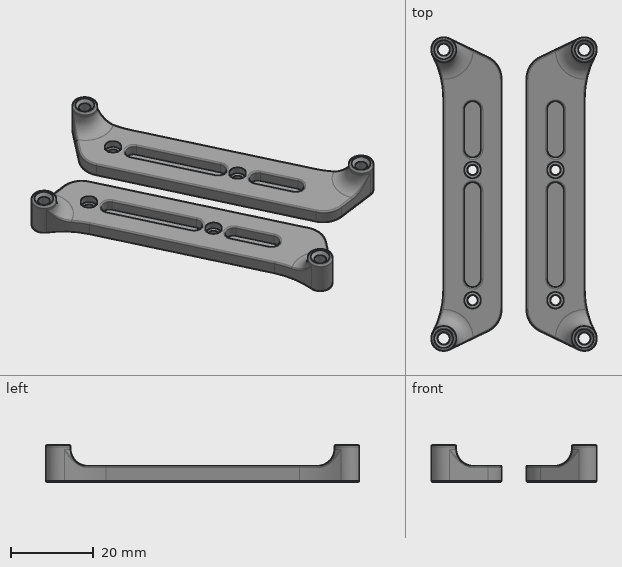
import cadquery as cq
import math


boss_radius = 3.0
boss_height = 9.0
boss_x = 17.0
boss_y = 34.9
boss_centres = [(boss_x, boss_y), (boss_x, -boss_y)]
foot_fillet = 4.0
boss_hole_diameter = 2.9
countersink_diameter = 4.55
countersink_angle = 90

plate_height = 4.0
inner_edge_x = 2.95
outer_edge_x = 17.15
end_slope = math.radians(25.6)
corner_radius = 6.0
waist_radius = 21.55

edge_round = 0.4
bottom_chamfer = 0.4
boss_gap = 0.04

screw_line_x = 10.0
screw_hole_ys = [5.85, -25.65]
screw_hole_diameter = 2.4
counterbore_diameter = 4.0
counterbore_depth = 2.0
slot_width = 4.0
slot_depth = 3.0
slot_spans = [(8.9, 22.5), (-22.5, 2.9)]

tolerance = 0.001


def on_boss(angle):
    """Point at the given direction on the rim of the +Y boss."""
    return (boss_x + boss_radius * math.cos(angle), boss_y + boss_radius * math.sin(angle))


def mirrored(point):
    return (point[0], -point[1])


def make_outline(height):
    """Bracket outline, symmetric about Y = 0, extruded up to the given height."""
    end_start = on_boss(math.pi / 2 + end_slope)
    corner = (inner_edge_x, end_start[1] - (end_start[0] - inner_edge_x) * math.tan(end_slope))

    waist_x = outer_edge_x + waist_radius
    waist_y = boss_y - math.sqrt((waist_radius + boss_radius) ** 2 - (waist_x - boss_x) ** 2)
    waist_direction = math.atan2(waist_y - boss_y, waist_x - boss_x)
    waist_start = (outer_edge_x, waist_y)
    waist_end = on_boss(waist_direction)
    middle_angle = math.pi + waist_direction / 2
    waist_middle = (
        waist_x + waist_radius * math.cos(middle_angle),
        waist_y + waist_radius * math.sin(middle_angle),
    )
    boss_middle = on_boss((waist_direction + math.pi / 2 + end_slope) / 2)

    blank = (
        cq.Workplane("XY")
        .moveTo(*mirrored(waist_start))
        .lineTo(*waist_start)
        .threePointArc(waist_middle, waist_end)
        .threePointArc(boss_middle, end_start)
        .lineTo(*corner)
        .lineTo(*mirrored(corner))
        .lineTo(*mirrored(end_start))
        .threePointArc(mirrored(boss_middle), mirrored(waist_end))
        .threePointArc(mirrored(waist_middle), mirrored(waist_start))
        .close()
        .extrude(height)
    )
    return blank.edges("|Z and <X").fillet(corner_radius)


def make_foot():
    """Boss core that flares out to the plate top through the concave fillet, on the Z axis."""
    foot_radius = boss_radius + foot_fillet
    bend = foot_fillet * (1 - math.sqrt(0.5))
    return (
        cq.Workplane("XZ")
        .lineTo(foot_radius, 0)
        .lineTo(foot_radius, plate_height)
        .threePointArc(
            (boss_radius + bend, plate_height + bend),
            (boss_radius, plate_height + foot_fillet),
        )
        .lineTo(0, plate_height + foot_fillet)
        .close()
        .revolve(360, (0, 0), (0, 1))
    )


def make_sharp_plate():
    """Plate with a flared foot below each boss, all edges sharp."""
    plate = make_outline(plate_height)
    raised_outline = make_outline(plate_height + foot_fillet)
    for x, y in boss_centres:
        plate = plate.union(raised_outline.intersect(make_foot().translate((x, y, 0))))
    return plate


def make_cylinders(radius):
    """A full-height cylinder on each boss axis."""
    return cq.Workplane("XY").pushPoints(boss_centres).circle(radius).extrude(boss_height)


def on_top_rim(edge):
    """True for an edge where the plate top or a foot meets the side wall."""
    if edge.BoundingBox().zmin < plate_height - tolerance:
        return False
    points = [edge.positionAt(share) for share in (0, 0.3, 0.7, 1)]
    distances = [math.hypot(p.x - boss_x, abs(p.y) - boss_y) for p in points]
    circles_a_boss = max(distances) - min(distances) < tolerance
    return not circles_a_boss


def make_body():
    """Plate and bosses with finished outer edges, before any holes."""
    sharp_plate = make_sharp_plate()
    cores = make_cylinders(boss_radius + boss_gap)
    plate = sharp_plate.cut(cores)
    rim_edges = [edge for edge in plate.edges().vals() if on_top_rim(edge)]
    plate = plate.newObject(rim_edges).fillet(edge_round)

    body = plate.union(sharp_plate.intersect(cores)).union(make_cylinders(boss_radius))
    body = body.faces("<Z").edges().chamfer(bottom_chamfer)
    return body.faces(">Z").edges().fillet(edge_round)


def cut_slots(body):
    """Cut the blind slots and round their mouths."""
    for low, high in slot_spans:
        slot = (
            cq.Workplane("XY", origin=(screw_line_x, (low + high) / 2, plate_height))
            .slot2D(high - low, slot_width, 90)
            .extrude(-slot_depth)
        )
        body = body.cut(slot)
    mouths = cq.selectors.BoxSelector(
        (screw_line_x - slot_width, -boss_y, plate_height - tolerance),
        (screw_line_x + slot_width, boss_y, plate_height + tolerance),
        boundingbox=True,
    )
    return body.edges(mouths).fillet(edge_round)


def cut_screw_holes(body):
    """Counterbored through holes from the plate top."""
    return (
        body.copyWorkplane(cq.Workplane("XY", origin=(0, 0, plate_height)))
        .pushPoints([(screw_line_x, y) for y in screw_hole_ys])
        .cboreHole(screw_hole_diameter, counterbore_diameter, counterbore_depth)
    )


def cut_boss_holes(body):
    """Countersunk through holes from the boss tops."""
    return (
        body.copyWorkplane(cq.Workplane("XY", origin=(0, 0, boss_height)))
        .pushPoints(boss_centres)
        .cskHole(boss_hole_diameter, countersink_diameter, countersink_angle)
    )


def make_bracket():
    return cut_boss_holes(cut_screw_holes(cut_slots(make_body())))


right_bracket = make_bracket()
left_bracket = right_bracket.mirror("YZ")

result = cq.Compound.makeCompound([right_bracket.val(), left_bracket.val()])